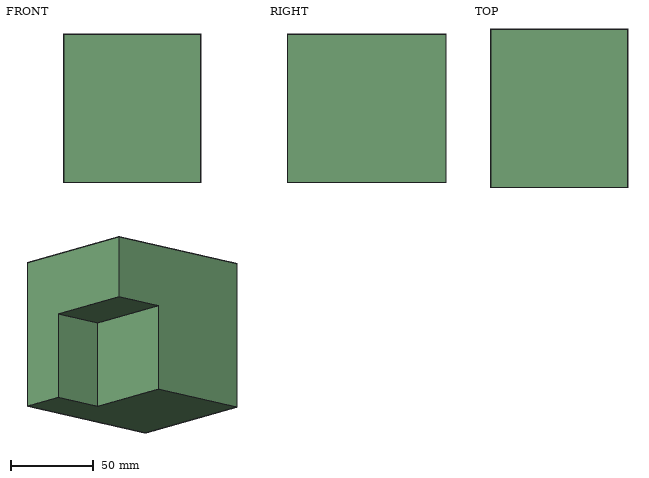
import cadquery as cq

length_x = 83.02
width_y = 95.94
height_z = 89.8

pocket_width_y = 31.98
pocket_height_z = 52.2
end_wall_thickness = 28.0
pocket_depth_x = length_x - end_wall_thickness


def make_block():
    """Plain rectangular block centred on the origin."""
    return cq.Workplane("XY").box(length_x, width_y, height_z)


def make_corner_pocket():
    """Rectangular volume removed from the -X, +Y, -Z corner of the block."""
    return (
        cq.Workplane("XY")
        .box(pocket_depth_x, pocket_width_y, pocket_height_z, centered=False)
        .translate((-length_x / 2, width_y / 2 - pocket_width_y, -height_z / 2))
    )


result = make_block().cut(make_corner_pocket())